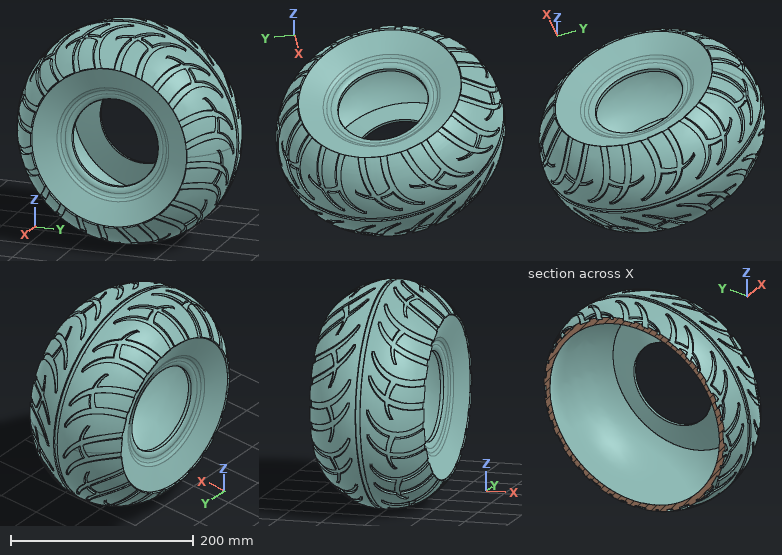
import cadquery as cq
import math

outer_radius = 127.0
half_width = 65.5
crown_radius = 78.7
tread_depth = 2.0
centre_groove_width = 5.3

sidewall_slope = 0.45
sidewall_inner_radius = 65.5
step_inner_radius = 62.0
step_slope = 0.7
bead_hollow_radius = 7.5
bead_crest_radius = 57.5
bead_nose_radius = 9.6
bore_radius = 50.5
bore_land = 3.8
cavity_wall = 5.0

pitch_count = 12
rib_radius = 55.9
rib_centre_x = -62.5
rib_centre_z = 64.0
rib_width_z = 7.4
rib_spacing = 25.0
rib_tip_x = -10.2
rib_tip_z = 39.9
rib_outer_x = -71.0
stem_left_centre = (-69.5, -14.5)
stem_left_radius = 36.8
stem_right_centre = (-71.9, -10.2)
stem_right_radius = 43.2
stem_top = 10.2
stem_bottom = -32.2
mirrored_shift_z = 30.2
cutter_near = 63.5
cutter_far = 139.6

crown_centre = outer_radius - math.sqrt(crown_radius**2 - (centre_groove_width / 2) ** 2)
base_radius = crown_radius - tread_depth
cavity_radius = base_radius - cavity_wall


def arc_height(section_radius, x):
    """Distance from the tyre axis of an arc centred under the crown."""
    return crown_centre + math.sqrt(section_radius**2 - x**2)


def revolve_about_x(profile):
    return profile.close().revolve(360, (0, 0, 0), (1, 0, 0))


def line_arc_crossing(x, radius, slope, section_radius):
    """Point where the line leaving (x, radius) at the given slope meets a crown arc."""
    offset = x + slope * (crown_centre - radius)
    a = 1 + slope**2
    rise = (-slope * offset + math.sqrt(a * section_radius**2 - offset**2)) / a
    return offset + slope * rise, crown_centre + rise


def tyre_body():
    shoulder_x = half_width
    shoulder_r = arc_height(crown_radius, half_width)
    foot_x = half_width * base_radius / crown_radius
    foot_r = arc_height(base_radius, foot_x)
    step_x = foot_x - sidewall_slope * (foot_r - sidewall_inner_radius)
    hollow_x = step_x - step_slope * (sidewall_inner_radius - step_inner_radius)

    hollow_angle = math.asin((step_inner_radius - bead_crest_radius) / bead_hollow_radius)
    crest_x = hollow_x - bead_hollow_radius * (1 - math.cos(hollow_angle))
    hollow_mid = (
        crest_x + bead_hollow_radius * (1 - math.cos(hollow_angle / 2)),
        bead_crest_radius + bead_hollow_radius * math.sin(hollow_angle / 2),
    )
    nose_angle = math.asin((bead_crest_radius - bore_radius) / bead_nose_radius)
    nose_x = crest_x - bead_nose_radius * (1 - math.cos(nose_angle))
    nose_mid = (
        crest_x - bead_nose_radius * (1 - math.cos(nose_angle / 2)),
        bead_crest_radius - bead_nose_radius * math.sin(nose_angle / 2),
    )
    cavity_x = nose_x - bore_land
    roof_x, roof_r = line_arc_crossing(cavity_x, bore_radius, sidewall_slope, cavity_radius)

    profile = (
        cq.Workplane("XY")
        .moveTo(-shoulder_x, shoulder_r)
        .threePointArc((0, crown_centre + crown_radius), (shoulder_x, shoulder_r))
        .lineTo(foot_x, foot_r)
        .lineTo(step_x, sidewall_inner_radius)
        .lineTo(hollow_x, step_inner_radius)
        .threePointArc(hollow_mid, (crest_x, bead_crest_radius))
        .threePointArc(nose_mid, (nose_x, bore_radius))
        .lineTo(cavity_x, bore_radius)
        .lineTo(roof_x, roof_r)
        .threePointArc((0, crown_centre + cavity_radius), (-roof_x, roof_r))
        .lineTo(-cavity_x, bore_radius)
        .lineTo(-nose_x, bore_radius)
        .threePointArc((-nose_mid[0], nose_mid[1]), (-crest_x, bead_crest_radius))
        .threePointArc((-hollow_mid[0], hollow_mid[1]), (-hollow_x, step_inner_radius))
        .lineTo(-step_x, sidewall_inner_radius)
        .lineTo(-foot_x, foot_r)
    )
    return revolve_about_x(profile)


def groove_floor_solid():
    """Solid of revolution whose crown is the floor of every groove."""
    edge = -rib_outer_x
    edge_r = arc_height(base_radius, edge)
    profile = (
        cq.Workplane("XY")
        .moveTo(-edge, 0)
        .lineTo(-edge, edge_r)
        .threePointArc((0, crown_centre + base_radius), (edge, edge_r))
        .lineTo(edge, 0)
    )
    return revolve_about_x(profile)


def circle_point(centre, radius, angle):
    return centre[0] + radius * math.cos(angle), centre[1] + radius * math.sin(angle)


def angle_at_x(centre, radius, x):
    """Angle of the lower half of a circle at the given x."""
    return -math.acos((x - centre[0]) / radius)


def angle_at_z(centre, radius, z):
    """Angle of the right half of a circle at the given z."""
    return math.asin((z - centre[1]) / radius)


def outline_prism(outline):
    return outline.close().extrude(cutter_far - cutter_near)


def pattern_plane():
    return cq.Workplane("XZ", origin=(0, -cutter_near, 0))


def rib_prism(drop):
    """Curved groove from the shoulder to a thin tip beside the centre groove."""
    upper = (rib_centre_x, rib_centre_z - drop)
    lower = (rib_centre_x, upper[1] - rib_width_z)
    tip_z = rib_tip_z - drop
    outer_angle = angle_at_x(upper, rib_radius, rib_outer_x)
    upper_tip = angle_at_z(upper, rib_radius, tip_z)
    lower_tip = angle_at_x(lower, rib_radius, rib_tip_x)
    outline = (
        pattern_plane()
        .moveTo(*circle_point(upper, rib_radius, outer_angle))
        .threePointArc(
            circle_point(upper, rib_radius, (outer_angle + upper_tip) / 2),
            circle_point(upper, rib_radius, upper_tip),
        )
        .lineTo(rib_tip_x, tip_z)
        .lineTo(*circle_point(lower, rib_radius, lower_tip))
        .threePointArc(
            circle_point(lower, rib_radius, (outer_angle + lower_tip) / 2),
            circle_point(lower, rib_radius, outer_angle),
        )
    )
    return outline_prism(outline)


def stem_prism():
    """Tapering groove that links the two ribs and runs out past the second one."""
    left_ends = [angle_at_z(stem_left_centre, stem_left_radius, z) for z in (stem_top, stem_bottom)]
    right_ends = [angle_at_z(stem_right_centre, stem_right_radius, z) for z in (stem_top, stem_bottom)]
    outline = (
        pattern_plane()
        .moveTo(*circle_point(stem_left_centre, stem_left_radius, left_ends[0]))
        .threePointArc(
            circle_point(stem_left_centre, stem_left_radius, sum(left_ends) / 2),
            circle_point(stem_left_centre, stem_left_radius, left_ends[1]),
        )
        .lineTo(*circle_point(stem_right_centre, stem_right_radius, right_ends[1]))
        .threePointArc(
            circle_point(stem_right_centre, stem_right_radius, sum(right_ends) / 2),
            circle_point(stem_right_centre, stem_right_radius, right_ends[0]),
        )
    )
    return outline_prism(outline)


def centre_groove():
    return (
        cq.Workplane("YZ", origin=(-centre_groove_width / 2, 0, 0))
        .circle(cutter_far)
        .circle(crown_centre + base_radius)
        .extrude(centre_groove_width)
    )


floor_solid = groove_floor_solid()
outlines = rib_prism(0).union(rib_prism(rib_spacing)).union(stem_prism())
mirrored_outlines = outlines.mirror("YZ").translate((0, 0, mirrored_shift_z))

cutters = [centre_groove().val()]
for outline_set in (outlines, mirrored_outlines):
    pattern = outline_set.cut(floor_solid)
    for pitch in range(pitch_count):
        turned = pattern.rotate((0, 0, 0), (1, 0, 0), 360.0 * pitch / pitch_count)
        cutters.extend(turned.vals())

result = cq.Workplane(tyre_body().val().cut(*cutters)).solids()